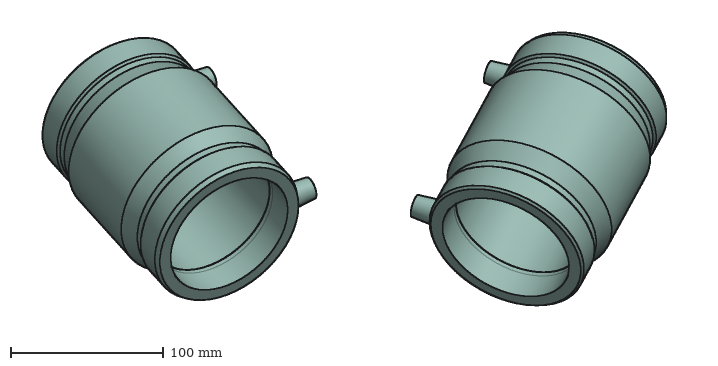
import cadquery as cq

LENGTH = 148.0
LEFT_END = -LENGTH / 2
RIGHT_END = LENGTH / 2

BODY_RADIUS = 117.0 / 2
COLLAR_RADIUS = 109.98 / 2
NECK_RADIUS = 106.68 / 2
COLLAR_CHAMFER = COLLAR_RADIUS - NECK_RADIUS

COLLAR_WIDTH = 21.4
RIGHT_COLLAR_WIDTH = 23.4
NECK_WIDTH = 5.2
LEFT_TAPER_LENGTH = 14.2
RIGHT_TAPER_LENGTH = 12.0
RIGHT_END_CHAMFER_LENGTH = 3.7

SOCKET_RADIUS = 90.0 / 2
BORE_RADIUS = 89.1 / 2
SOCKET_DEPTH = 19.5
SOCKET_TAPER_LENGTH = 3.0
SOCKET_STOP_RADIUS = 89.7 / 2

TERMINAL_TIP_Y = 69.0
TERMINAL_TIP_RADIUS = 15.3 / 2
TERMINAL_BASE_RADIUS = 17.4 / 2
TERMINAL_END_DISTANCE = 10.7
TERMINAL_ROOT_Y = 50.0


def revolve_about_x(points):
    """Solid of revolution about X from (axial position, radius) points."""
    return cq.Workplane("XY").polyline(points).close().revolve(360, (0, 0, 0), (1, 0, 0))


def make_sleeve():
    """Outer form: a chamfered collar at each end, a neck, and tapers up to the body."""
    left_neck = LEFT_END + COLLAR_WIDTH
    left_taper = left_neck + NECK_WIDTH
    right_neck = RIGHT_END - RIGHT_COLLAR_WIDTH
    right_taper = right_neck - NECK_WIDTH
    return revolve_about_x([
        (LEFT_END, 0),
        (LEFT_END, NECK_RADIUS),
        (LEFT_END + COLLAR_CHAMFER, COLLAR_RADIUS),
        (left_neck - COLLAR_CHAMFER, COLLAR_RADIUS),
        (left_neck, NECK_RADIUS),
        (left_taper, NECK_RADIUS),
        (left_taper + LEFT_TAPER_LENGTH, BODY_RADIUS),
        (right_taper - RIGHT_TAPER_LENGTH, BODY_RADIUS),
        (right_taper, NECK_RADIUS),
        (right_neck, NECK_RADIUS),
        (right_neck + COLLAR_CHAMFER, COLLAR_RADIUS),
        (RIGHT_END - RIGHT_END_CHAMFER_LENGTH, COLLAR_RADIUS),
        (RIGHT_END, NECK_RADIUS),
        (RIGHT_END, 0),
    ])


def make_bore():
    """Through bore: a socket at each end, tapering to a stop step before the middle stretch."""
    socket_end = LENGTH / 2 - SOCKET_DEPTH
    stop = socket_end - SOCKET_TAPER_LENGTH
    return revolve_about_x([
        (LEFT_END, 0),
        (LEFT_END, SOCKET_RADIUS),
        (-socket_end, SOCKET_RADIUS),
        (-stop, SOCKET_STOP_RADIUS),
        (-stop, BORE_RADIUS),
        (stop, BORE_RADIUS),
        (stop, SOCKET_STOP_RADIUS),
        (socket_end, SOCKET_RADIUS),
        (RIGHT_END, SOCKET_RADIUS),
        (RIGHT_END, 0),
    ])


def make_terminal(x):
    """Terminal cone, rooted inside the collar wall and tapering to its tip."""
    slope = (TERMINAL_BASE_RADIUS - TERMINAL_TIP_RADIUS) / (TERMINAL_TIP_Y - COLLAR_RADIUS)
    height = TERMINAL_TIP_Y - TERMINAL_ROOT_Y
    root_radius = TERMINAL_TIP_RADIUS + slope * height
    cone = cq.Solid.makeCone(
        root_radius,
        TERMINAL_TIP_RADIUS,
        height,
        pnt=cq.Vector(x, TERMINAL_ROOT_Y, 0),
        dir=cq.Vector(0, 1, 0),
    )
    return cq.Workplane(obj=cone)


result = make_sleeve().cut(make_bore())
for terminal_x in (LEFT_END + TERMINAL_END_DISTANCE, RIGHT_END - TERMINAL_END_DISTANCE):
    result = result.union(make_terminal(terminal_x))